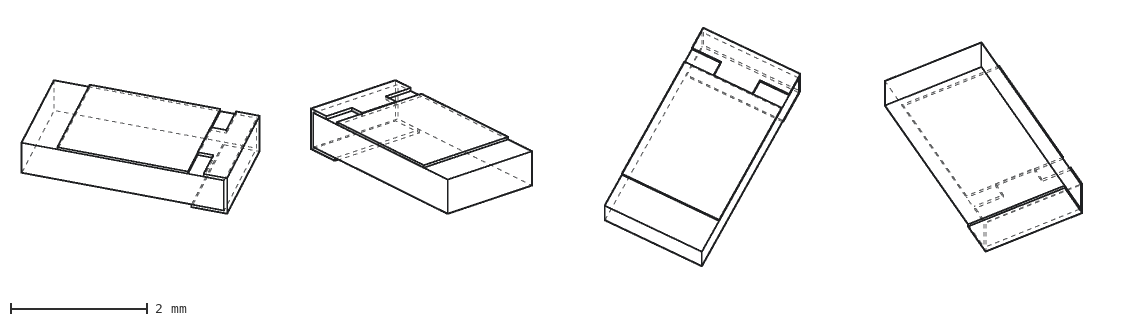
import cadquery as cq


substrate_length = 3.10
width = 1.60
substrate_height = 0.55
substrate_left = -substrate_length / 2
substrate_right = substrate_length / 2
substrate_top = substrate_height / 2
substrate_bottom = -substrate_height / 2

plating_thickness = 0.05
top_arm_length = 0.60
bottom_arm_length = 0.55
terminal_right = substrate_right + plating_thickness
terminal_top = substrate_top + plating_thickness
terminal_bottom = substrate_bottom - plating_thickness
top_arm_left = terminal_right - top_arm_length
bottom_arm_left = terminal_right - bottom_arm_length

tongue_length = 0.24
tongue_width = 0.64
notch_width = (width - tongue_width) / 2

film_length = 2.00
film_thickness = 0.04
film_left = top_arm_left - film_length


def block(left, front, bottom, length, depth, height):
    """Box placed by its minimum X, Y and Z corner."""
    return cq.Workplane("XY").box(length, depth, height, centered=False).translate((left, front, bottom))


def make_substrate():
    return block(substrate_left, -width / 2, substrate_bottom, substrate_length, width, substrate_height)


def make_film():
    return block(film_left, -width / 2, substrate_top, film_length, width, film_thickness)


def make_terminal():
    profile = [
        (top_arm_left, terminal_top),
        (terminal_right, terminal_top),
        (terminal_right, terminal_bottom),
        (bottom_arm_left, terminal_bottom),
        (bottom_arm_left, substrate_bottom),
        (substrate_right, substrate_bottom),
        (substrate_right, substrate_top),
        (top_arm_left, substrate_top),
    ]
    terminal = cq.Workplane("XZ").polyline(profile).close().extrude(width / 2, both=True)
    for notch_front in (-width / 2, tongue_width / 2):
        notch = block(top_arm_left, notch_front, substrate_top, tongue_length, notch_width, plating_thickness)
        terminal = terminal.cut(notch)
    return terminal


substrate = make_substrate()
film = make_film()
terminal = make_terminal()

result = cq.Compound.makeCompound([substrate.val(), film.val(), *terminal.solids().vals()])